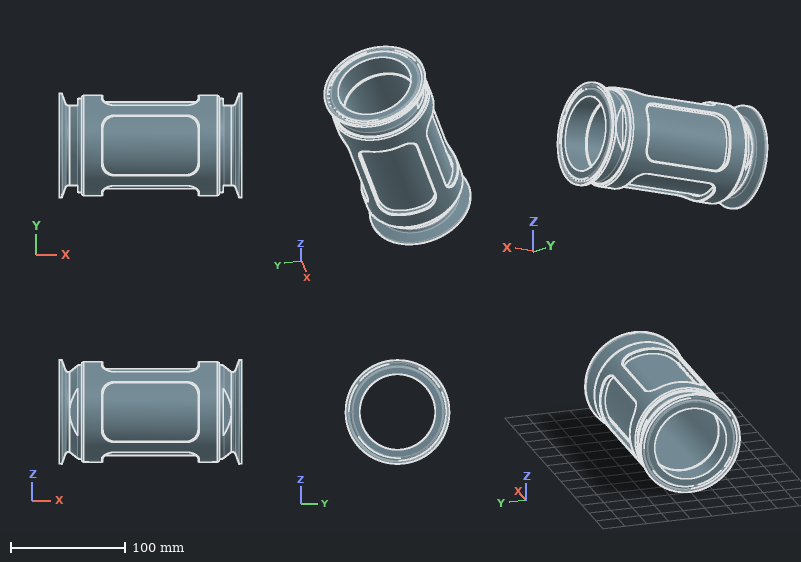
import cadquery as cq
import math


length = 160.0
half_length = length / 2
bore_radius = 33.0
origin = (0, 0, 0)
x_axis = (1, 0, 0)
z_axis = (0, 0, 1)
tolerance = 0.02

rim_diameter = 91.0
rim_radius = rim_diameter / 2
rim_width = 2.5
rim_fillet = 0.5
flange_angle = 20.0
neck_radius = 35.0
flange_root_fillet = 2.4
shoulder_cone_start = 9.3
shoulder_cone_angle = 39.0
plug_radius = 41.5
shoulder_fillet = 5.3
plug_end = 28.8
flat_end = 16.2

groove_middle_radius = 41.5
groove_half_width = 1.3
groove_depth = 1.3
groove_lip_fillet = 1.1

gasket_start = 21.3
gasket_thickness = 1.5
glass_radius = 38.0
glass_half_length = half_length - gasket_start - gasket_thickness

cage_radius = 44.0
cage_bore_radius = 39.2
cage_end_inset = 19.8
cage_half_length = half_length - cage_end_inset
cage_chamfer_length = 2.0
cage_chamfer_depth = 1.1
plug_depth = half_length - plug_end

window_count = 4
window_length = 83.2
window_width = 51.2
window_corner_radius = 10.0
window_chamfer_width = 1.1
window_chamfer_depth = 0.6


def tube(x_start, x_end, outer_radius, inner_radius):
    """Plain tube along X between two places."""
    return (
        cq.Workplane("YZ", origin=(x_start, 0, 0))
        .circle(outer_radius)
        .circle(inner_radius)
        .extrude(x_end - x_start)
    )


def cylinder(x_start, x_end, radius):
    """Solid cylinder along X between two places."""
    return cq.Workplane("YZ", origin=(x_start, 0, 0)).circle(radius).extrude(x_end - x_start)


def revolve_about_x(profile):
    """Full turn of an open profile, closed first, about the X axis."""
    return profile.close().revolve(360, origin, x_axis)


def ring_edges(body, x, radius):
    """Circular edges of a body that lie at one place along X with one radius."""
    return [
        edge
        for edge in body.edges("%CIRCLE").vals()
        if abs(edge.Center().x - x) < tolerance and abs(edge.radius() - radius) < tolerance
    ]


def make_ferrule():
    """Ferrule of the -X end."""
    face = -half_length
    flange_back = face + rim_width + (rim_radius - neck_radius) * math.tan(math.radians(flange_angle))
    cone_start = face + shoulder_cone_start
    cone_length = (plug_radius - neck_radius) / math.tan(math.radians(shoulder_cone_angle))
    body = revolve_about_x(
        cq.Workplane("XZ")
        .moveTo(face, bore_radius)
        .lineTo(face, rim_radius)
        .lineTo(face + rim_width, rim_radius)
        .lineTo(flange_back, neck_radius)
        .lineTo(cone_start, neck_radius)
        .lineTo(cone_start + cone_length, plug_radius)
        .lineTo(face + plug_end, plug_radius)
        .lineTo(face + plug_end, glass_radius)
        .lineTo(face + gasket_start, glass_radius)
        .lineTo(face + gasket_start, bore_radius)
    )
    rounded_rings = [
        (face + rim_width, rim_radius, rim_fillet),
        (flange_back, neck_radius, flange_root_fillet),
        (cone_start + cone_length, plug_radius, shoulder_fillet),
    ]
    for x, radius, fillet in rounded_rings:
        body = body.newObject(ring_edges(body, x, radius)).fillet(fillet)
    return cut_wrench_flats(cut_face_groove(body, face), face)


def cut_face_groove(body, face):
    """Round-bottomed ring groove with rounded lips in the outer face."""
    inner_radius = groove_middle_radius - groove_half_width
    outer_radius = groove_middle_radius + groove_half_width
    groove = revolve_about_x(
        cq.Workplane("XZ")
        .moveTo(face, inner_radius)
        .threePointArc((face + groove_depth, groove_middle_radius), (face, outer_radius))
    )
    body = body.cut(groove)
    lips = ring_edges(body, face, inner_radius) + ring_edges(body, face, outer_radius)
    return body.newObject(lips).fillet(groove_lip_fillet)


def cut_wrench_flats(body, face):
    """Two opposite flats, level with the neck, across the cone of the shoulder."""
    flat_start = face + shoulder_cone_start
    flat_length = flat_end - shoulder_cone_start
    for side in (-1, 1):
        cutter = cq.Workplane("XY").box(flat_length, plug_radius, 2 * plug_radius).translate(
            (flat_start + flat_length / 2, side * (neck_radius + plug_radius / 2), 0)
        )
        body = body.cut(cutter)
    return body


def make_gasket():
    """Flat gasket between the -X ferrule and the glass."""
    gasket_x = -half_length + gasket_start
    return tube(gasket_x, gasket_x + gasket_thickness, glass_radius, bore_radius)


def make_glass():
    """Glass tube between the two gaskets."""
    return tube(-glass_half_length, glass_half_length, glass_radius, bore_radius)


def make_window_cutter():
    """Rounded window through the +Z wall, cut outwards from the axis."""
    return (
        cq.Workplane("XY")
        .rect(window_length, window_width)
        .extrude(2 * cage_radius)
        .edges("|Z")
        .fillet(window_corner_radius)
    )


def on_window_rim(edge):
    """True for an edge that lies on the cage's outer surface along a window's outline."""
    middle = edge.positionAt(0.5)
    on_surface = abs(math.hypot(middle.y, middle.z) - cage_radius) < tolerance
    return on_surface and abs(middle.x) < window_length / 2 + tolerance


def make_cage():
    """Cage with chamfered ends, chamfered windows and a recess for each ferrule."""
    chamfer_x = cage_half_length - cage_chamfer_length
    end_radius = cage_radius - cage_chamfer_depth
    body = revolve_about_x(
        cq.Workplane("XZ")
        .moveTo(-cage_half_length, 0)
        .lineTo(-cage_half_length, end_radius)
        .lineTo(-chamfer_x, cage_radius)
        .lineTo(chamfer_x, cage_radius)
        .lineTo(cage_half_length, end_radius)
        .lineTo(cage_half_length, 0)
    )
    window = make_window_cutter()
    for index in range(window_count):
        body = body.cut(window.rotate(origin, x_axis, index * 360 / window_count))
    outer_edges = [edge for edge in body.edges().vals() if on_window_rim(edge)]
    body = body.newObject(outer_edges).chamfer(window_chamfer_width, window_chamfer_depth)
    body = body.cut(cylinder(-cage_half_length, cage_half_length, cage_bore_radius))
    body = body.cut(cylinder(-cage_half_length, -plug_depth, plug_radius))
    return body.cut(cylinder(plug_depth, cage_half_length, plug_radius))


cage = make_cage()
glass = make_glass()
ferrules = []
gaskets = []
for turn in (0, 180):
    ferrules.append(make_ferrule().rotate(origin, z_axis, turn).val())
    gaskets.append(make_gasket().rotate(origin, z_axis, turn).val())

result = cq.Compound.makeCompound([cage.val(), glass.val(), *ferrules, *gaskets])